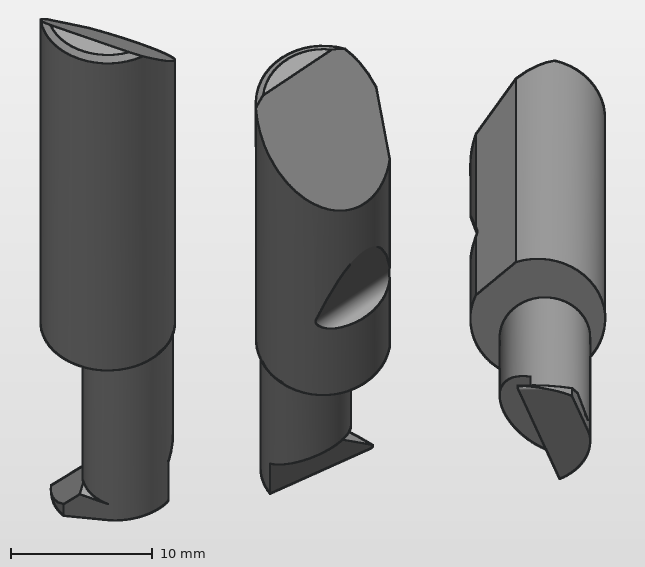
import cadquery as cq
import math


shank_radius = 9.525 / 2
shank_length = 31.75
rim_chamfer_width = 0.5
rim_chamfer_height = 0.34
top_flat_depth = 1.81
side_flat_span = 47.8
notch_floor_z = 8.8
notch_top_z = 17.7
notch_taper = 10.0
notch_corner_radius = 1.0

neck_radius = 3.2
neck_x = shank_radius - neck_radius
neck_bevel_z = -8.92

head_top_z = -14.93
tip_x = -4.83
tip_z = -19.25
side_edge_angle = 51.5
end_edge_angle = 18.0
relief_angle = 10.0
nose_radius = 0.2
heel_radius = 8.0
heel_center_x = 2.88
heel_center_y = 3.2

reach = 30.0


def along(angle, distance):
    """Offset of a given length at an angle in degrees from the X axis."""
    return (
        distance * math.cos(math.radians(angle)),
        distance * math.sin(math.radians(angle)),
    )


def prism_along_x(points):
    """Prism with a (Y, Z) outline, centred on X = 0."""
    return cq.Workplane("YZ").polyline(points).close().extrude(reach, both=True)


def make_shank():
    shank = cq.Workplane("XY").circle(shank_radius).extrude(shank_length)
    top_edge = shank.faces(">Z").edges()
    return top_edge.chamfer(rim_chamfer_height, rim_chamfer_width)


def make_top_bevel():
    start_y = -shank_radius + top_flat_depth
    return prism_along_x([
        (start_y, shank_length),
        (start_y + reach, shank_length - reach),
        (start_y + reach, shank_length),
    ])


def make_side_flat():
    """Everything beyond the chord that starts at the -X quadrant and runs toward +Y."""
    half_span = side_flat_span / 2
    chord_distance = shank_radius * math.cos(math.radians(half_span))
    outside = (
        cq.Workplane("XY")
        .center(chord_distance + shank_radius / 2, 0)
        .rect(shank_radius, 2 * shank_radius)
        .extrude(shank_length)
    )
    return outside.rotate((0, 0, 0), (0, 0, 1), 180 - half_span)


def make_notch():
    """Tapered clamping notch across the +Y side, with a rounded inner corner."""
    taper_tangent = math.tan(math.radians(notch_taper))
    inner_y = shank_radius - (notch_top_z - notch_floor_z) * taper_tangent
    outer_y = 2 * shank_radius
    outer_z = notch_top_z + (outer_y - shank_radius) / taper_tangent
    notch = prism_along_x([
        (inner_y, notch_floor_z),
        (outer_y, notch_floor_z),
        (outer_y, outer_z),
    ])
    inner_edge = notch.edges("|X").edges("<Y")
    return inner_edge.fillet(notch_corner_radius)


def relieved_prism(points):
    """Prism from an (X, Z) outline at Y = 0 toward -Y, all sides drafted inward."""
    outline = cq.Workplane("XZ").polyline(points).close()
    return outline.extrude(neck_radius, taper=relief_angle)


def make_end_relief():
    """Volume above the plane that carries the end cutting edge."""
    left_dx, left_dz = along(end_edge_angle, -reach)
    right_dx, right_dz = along(end_edge_angle, reach)
    left_x = tip_x + left_dx
    right_x = tip_x + right_dx
    return relieved_prism([
        (left_x, tip_z + left_dz),
        (right_x, tip_z + right_dz),
        (right_x, reach),
        (left_x, reach),
    ])


def make_neck():
    """Round neck whose lower end is the half section below Y = 0, closed by the end relief."""
    half_section_z = neck_bevel_z - neck_radius
    neck = cq.Workplane("XY").center(neck_x, 0).circle(neck_radius).extrude(half_section_z)
    bevel = prism_along_x([
        (0, half_section_z),
        (neck_radius, neck_bevel_z),
        (2 * neck_radius, neck_bevel_z),
        (2 * neck_radius, half_section_z),
    ])
    lower_half = (
        cq.Workplane("XY", origin=(neck_x, 0, half_section_z))
        .circle(neck_radius)
        .extrude(tip_z - half_section_z)
        .intersect(make_end_relief())
    )
    return neck.cut(bevel).union(lower_half)


def make_head():
    end_dx, end_dz = along(end_edge_angle, reach)
    side_dx, side_dz = along(side_edge_angle, reach)
    wedge = relieved_prism([
        (tip_x, tip_z),
        (tip_x + end_dx, tip_z + end_dz),
        (tip_x + side_dx, tip_z + side_dz),
    ])
    nose_edge = wedge.edges("<X")
    wedge = nose_edge.fillet(nose_radius)
    head_height = head_top_z - tip_z
    block = (
        cq.Workplane("XY", origin=(tip_x, -neck_radius, tip_z))
        .box(neck_x - tip_x, neck_radius, head_height, centered=False)
    )
    heel = (
        cq.Workplane("XY", origin=(heel_center_x, heel_center_y, tip_z))
        .circle(heel_radius)
        .extrude(head_height)
    )
    return wedge.intersect(block).intersect(heel)


shank = make_shank().cut(make_top_bevel()).cut(make_side_flat()).cut(make_notch())
result = shank.union(make_neck()).union(make_head()).clean()